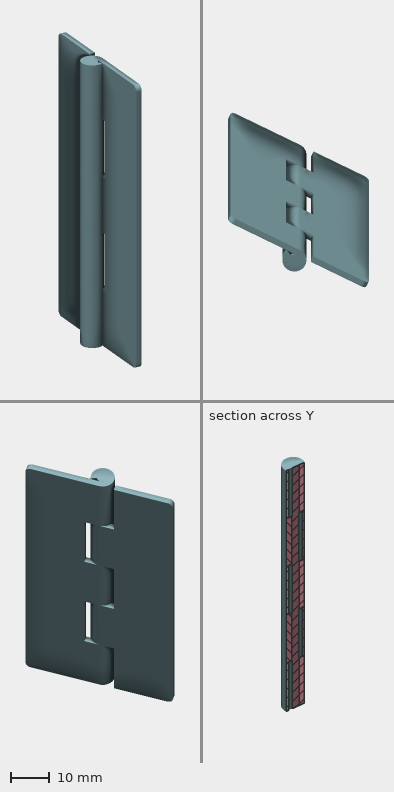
import cadquery as cq
import math

hinge_height = 80.0
hinge_width = 40.0
sheet_thickness = 1.6
knuckle_diameter = 6.2
knuckle_count = 5
plate_inset = 4.0
corner_radius = 1.5
curl_end_angle = 25.0

knuckle_radius = knuckle_diameter / 2
pin_radius = knuckle_radius - sheet_thickness
knuckle_length = hinge_height / knuckle_count
bottom_z = -hinge_height / 2
plate_width = hinge_width / 2 - plate_inset


def polar(radius, angle):
    """Point at a radius and an angle in degrees about the pin axis."""
    radians = math.radians(angle)
    return (radius * math.cos(radians), radius * math.sin(radians))


def make_plate():
    """Flat part of the right leaf, with its two outer corners rounded."""
    return (
        cq.Workplane("XY", origin=(plate_inset, pin_radius, bottom_z))
        .rect(plate_width, sheet_thickness, centered=False)
        .extrude(hinge_height)
        .edges("|Y and >X")
        .fillet(corner_radius)
    )


def make_knuckle(index):
    """Sheet tab of the right leaf, rolled around the pin; index 0 is the lowest."""
    curl_middle_angle = (90 + 360 + curl_end_angle) / 2
    return (
        cq.Workplane("XY", origin=(0, 0, bottom_z + index * knuckle_length))
        .moveTo(plate_inset, knuckle_radius)
        .lineTo(0, knuckle_radius)
        .threePointArc(polar(knuckle_radius, curl_middle_angle), polar(knuckle_radius, curl_end_angle))
        .lineTo(*polar(pin_radius, curl_end_angle))
        .threePointArc(polar(pin_radius, curl_middle_angle), (0, pin_radius))
        .lineTo(plate_inset, pin_radius)
        .close()
        .extrude(knuckle_length)
    )


def make_leaf(first_knuckle):
    """Right-hand leaf with every second knuckle, starting at first_knuckle."""
    leaf = make_plate()
    for index in range(first_knuckle, knuckle_count, 2):
        leaf = leaf.union(make_knuckle(index))
    return leaf


def make_pin():
    """Plain pin, flush with both ends of the knuckles."""
    return cq.Workplane("XY", origin=(0, 0, bottom_z)).circle(pin_radius).extrude(hinge_height)


right_leaf = make_leaf(first_knuckle=0)
left_leaf = make_leaf(first_knuckle=1).mirror("YZ")
pin = make_pin()

result = cq.Compound.makeCompound([right_leaf.val(), left_leaf.val(), pin.val()])